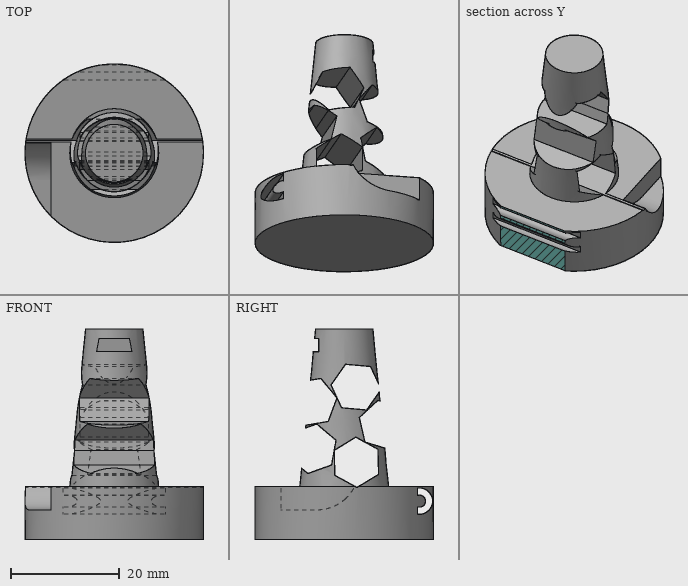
import cadquery as cq
import math

base_diameter = 32.89
base_radius = base_diameter / 2
base_height = 9.77

total_height = 38.78
post_height = total_height - base_height
post_bottom_radius = 8.2
post_top_radius = 5.3

hex_sides = 6
hex_across_flats = 8.0
hex_corner_diameter = hex_across_flats / math.cos(math.pi / hex_sides)
hex_bores = [
    (2.24, 14.21, 31.3),
    (-5.88, 16.71, 19.8),
    (7.21, 21.10, 43.0),
    (-5.91, 25.31, 9.6),
    (2.18, 28.05, 54.9),
]

notch_floor_y = -4.71
notch_bottom_z = 34.6
notch_height = 2.39

pocket_wall_x = -11.65
pocket_depth = 4.32
ramp_start_y = -5.02
ramp_end_y = 1.92

slot_outer_radius = 4.83 / 2
slot_inner_radius = 2.26 / 2
slot_center_y = 13.84
slot_center_z = 7.07
slot_end_y = 13.49

through_length = 2 * base_diameter


def make_body():
    base = cq.Workplane("XY").circle(base_radius).extrude(base_height)
    post = cq.Solid.makeCone(
        post_bottom_radius, post_top_radius, post_height, cq.Vector(0, 0, base_height)
    )
    return base.union(cq.Workplane(post))


def make_hex_bore(center_y, center_z, corner_angle):
    return (
        cq.Workplane("YZ")
        .polygon(hex_sides, hex_corner_diameter)
        .extrude(through_length / 2, both=True)
        .rotate((0, 0, 0), (1, 0, 0), corner_angle)
        .translate((0, center_y, center_z))
    )


def make_notch():
    return (
        cq.Workplane("XY")
        .box(through_length, base_radius, notch_height, centered=(True, False, False))
        .translate((0, notch_floor_y - base_radius, notch_bottom_z))
    )


def make_pocket():
    floor_z = base_height - pocket_depth
    ramp_run = ramp_end_y - ramp_start_y
    ramp_radius = (ramp_run**2 + pocket_depth**2) / (2 * pocket_depth)
    half_sweep = math.asin(ramp_run / ramp_radius) / 2
    ramp_middle = (
        ramp_start_y + ramp_radius * math.sin(half_sweep),
        floor_z + ramp_radius * (1 - math.cos(half_sweep)),
    )
    return (
        cq.Workplane("YZ", origin=(pocket_wall_x, 0, 0))
        .moveTo(-base_diameter, floor_z)
        .lineTo(ramp_start_y, floor_z)
        .threePointArc(ramp_middle, (ramp_end_y, base_height))
        .lineTo(-base_diameter, base_height)
        .close()
        .extrude(-base_radius)
    )


def make_c_slot():
    ring = (
        cq.Workplane("YZ")
        .center(slot_center_y, slot_center_z)
        .circle(slot_outer_radius)
        .circle(slot_inner_radius)
        .extrude(through_length / 2, both=True)
    )
    open_side = (
        cq.Workplane("XY")
        .box(through_length, base_diameter, base_diameter, centered=(True, False, True))
        .translate((0, slot_end_y, slot_center_z))
    )
    return ring.intersect(open_side)


result = make_body()
for bore_y, bore_z, bore_angle in hex_bores:
    result = result.cut(make_hex_bore(bore_y, bore_z, bore_angle))
result = result.cut(make_notch())
result = result.cut(make_pocket())
result = result.cut(make_c_slot())